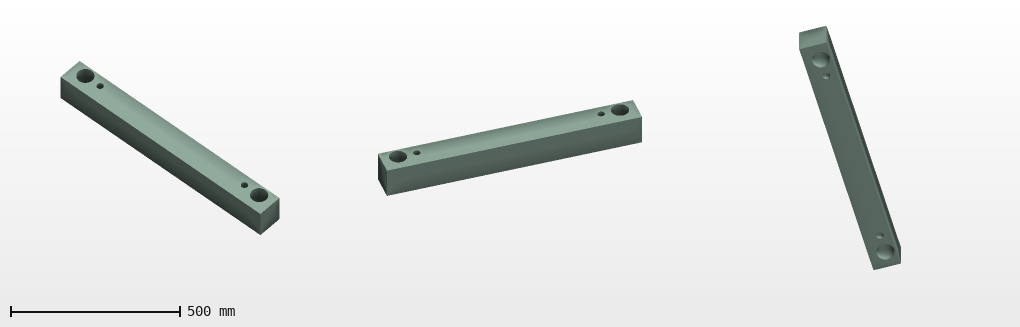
import cadquery as cq

length = 796.0
width = 84.0
height = 96.0

large_diameter = 54.0
large_spacing = 692.0
small_diameter = 22.0
small_spacing = 575.0
back_edge_distance = 32.0
hole_row_y = width / 2 - back_edge_distance


def make_bar():
    return cq.Workplane("XY").box(length, width, height)


def drill_pair(body, diameter, spacing):
    """Drill two vertical through holes symmetric about X = 0."""
    centers = [(side * spacing / 2, hole_row_y) for side in (-1, 1)]
    return body.faces(">Z").workplane(origin=(0, 0, height / 2)).pushPoints(centers).hole(diameter)


bar = make_bar()
bar = drill_pair(bar, large_diameter, large_spacing)
result = drill_pair(bar, small_diameter, small_spacing)